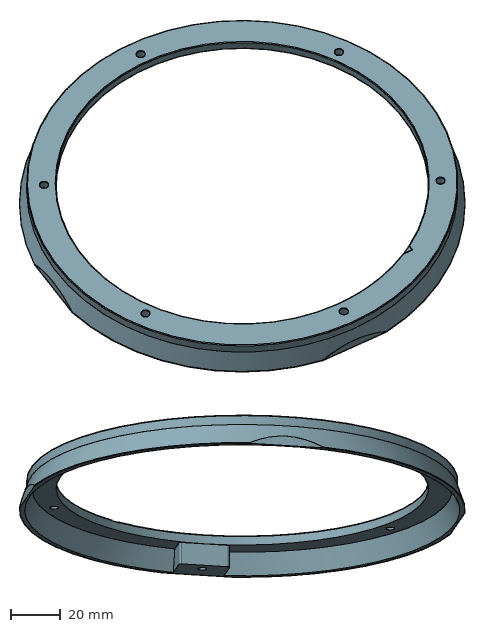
import cadquery as cq

SIDE = 177.0
HEIGHT = 13.0
TOP_FACE_DIAMETER = 173.0
BORE_DIAMETER = 150.0
BASE_RADIUS = 89.7
BAND_BOTTOM = 8.8
BASE_LIP_HEIGHT = 0.4
EDGE_CHAMFER = 0.4

FLANGE_THICKNESS = 3.9
SKIRT_THICKNESS = 2.1

HOLE_COUNT = 6
HOLE_DIAMETER = 3.4
HOLE_CIRCLE_RADIUS = 79.8
HOLE_CHAMFER = 0.2

NOTCH_CORNER_X = 65.7
NOTCH_CORNER_Y = 40.5
NOTCH_SIZE = 7.0
NOTCH_DEPTH = 0.4

BLOCK_WIDTH = 20.9
BLOCK_INNER_X = 75.0
BLOCK_CORNER_RADIUS = 0.9

band_radius = TOP_FACE_DIAMETER / 2 + EDGE_CHAMFER
flange_bottom = HEIGHT - FLANGE_THICKNESS


def outer_body():
    """Solid cone with a straight top band, trimmed square at its widest places."""
    profile = [
        (0, 0),
        (BASE_RADIUS, 0),
        (BASE_RADIUS, BASE_LIP_HEIGHT),
        (band_radius, BAND_BOTTOM),
        (band_radius, HEIGHT),
        (0, HEIGHT),
    ]
    cone = cq.Workplane("XZ").polyline(profile).close().revolve(360, (0, 0), (0, 1))
    square = cq.Workplane("XY").rect(SIDE, SIDE).extrude(HEIGHT)
    return cone.faces(">Z").edges().chamfer(EDGE_CHAMFER).intersect(square)


def underside_hollow():
    """Tapered space inside the skirt, below the flange."""
    profile = [
        (0, 0),
        (BASE_RADIUS - SKIRT_THICKNESS, 0),
        (band_radius - SKIRT_THICKNESS, flange_bottom),
        (0, flange_bottom),
    ]
    return cq.Workplane("XZ").polyline(profile).close().revolve(360, (0, 0), (0, 1))


def inner_block():
    """Block from the flat inner face out to the skirt, with rounded inner corners."""
    length = SIDE / 2 - BLOCK_INNER_X
    block = (
        cq.Workplane("XY")
        .box(length, BLOCK_WIDTH, HEIGHT - EDGE_CHAMFER, centered=(False, True, False))
        .translate((BLOCK_INNER_X, 0, 0))
    )
    return block.edges("|Z and <X").fillet(BLOCK_CORNER_RADIUS).intersect(outer_body())


def screw_holes():
    """Through holes evenly spaced around the flange, chamfered at the top."""
    hole = cq.Workplane("XY").circle(HOLE_DIAMETER / 2).extrude(HEIGHT)
    chamfer_cone = cq.Solid.makeCone(
        HOLE_DIAMETER / 2,
        HOLE_DIAMETER / 2 + HOLE_CHAMFER,
        HOLE_CHAMFER,
        pnt=cq.Vector(0, 0, HEIGHT - HOLE_CHAMFER),
    )
    cutter = hole.union(cq.Workplane(chamfer_cone)).val()
    return (
        cq.Workplane("XY")
        .polarArray(HOLE_CIRCLE_RADIUS, 0, 360, HOLE_COUNT)
        .eachpoint(lambda place: cutter.moved(place))
    )


def bore_edge_notch():
    """Box whose outer corner bites into the bore edge at the top face."""
    return (
        cq.Workplane("XY")
        .box(NOTCH_SIZE, NOTCH_SIZE, NOTCH_DEPTH, centered=False)
        .translate((NOTCH_CORNER_X - NOTCH_SIZE, NOTCH_CORNER_Y - NOTCH_SIZE, HEIGHT - NOTCH_DEPTH))
    )


bore = cq.Workplane("XY").circle(BORE_DIAMETER / 2).extrude(HEIGHT)
ring = outer_body().cut(bore)
bore_edge = ring.faces(">Z").edges(cq.selectors.RadiusNthSelector(0))
ring = bore_edge.chamfer(EDGE_CHAMFER).cut(underside_hollow())

result = ring.union(inner_block()).cut(bore_edge_notch()).cut(screw_holes())